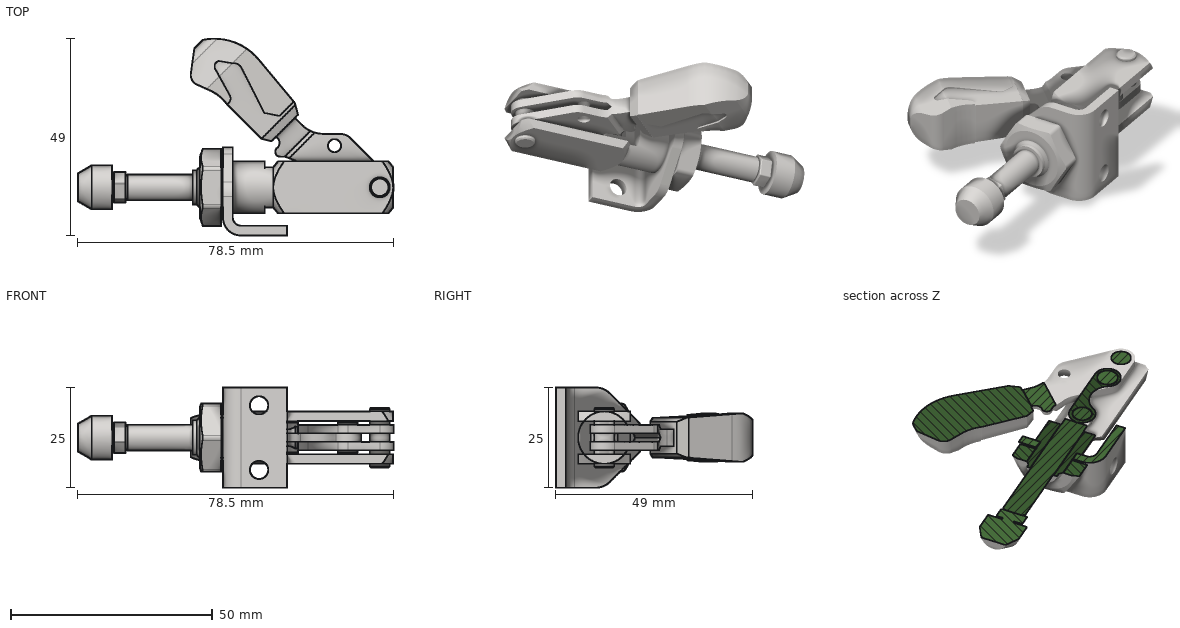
import cadquery as cq
import math


sheet = 2.5
thread_radius = 5.0
rod_radius = 3.25
pin_radius = 2.5
pin_chamfer = 0.35
pin_a_x = 39.0
pin_b_x = 31.0
pin_c_x = 16.2
link_half = 1.05
half_root = math.sqrt(0.5)
lever_sheet = 2.1
inner_half = 4.1
inner_pin_half = 4.0
outer_pin_half = 7.45


def revolve_about_x(points):
    """Solid of revolution about the X axis from (x, radius) points."""
    return cq.Workplane("XY").polyline(points).close().revolve(360, (0, 0), (1, 0))


def cylinder_along_x(start, end, radius):
    return cq.Workplane("YZ", origin=(start, 0, 0)).circle(radius).extrude(end - start)


def pin(x, half_length):
    """Straight pin along Z with chamfered ends, centred on the plunger axis."""
    body = cq.Workplane("XY", origin=(x, 0, -half_length)).circle(pin_radius).extrude(2 * half_length)
    return body.faces("<Z or >Z").chamfer(pin_chamfer)


def hexagon(start, end, across_flats, first_corner_deg, corner_radius):
    """Hexagonal prism along X with rounded corners."""
    bar = cq.Workplane("YZ", origin=(start, 0, 0)).polygon(6, across_flats / math.cos(math.pi / 6))
    bar = bar.extrude(end - start).edges("|X").fillet(corner_radius)
    return bar.rotate((0, 0, 0), (1, 0, 0), first_corner_deg)


bracket_half_width = 12.5
foot_bottom = -12.0
foot_length = 16.0
bend_inner_radius = 2.0
bracket_top = 10.0
bracket_slope_apex = 12.4
bracket_top_radius = (bracket_slope_apex - bracket_top) / (math.sqrt(2) - 1)
bracket_shoulder_radius = 5.0
foot_hole_x = 9.0
foot_hole_z = 8.0
foot_hole_diameter = 4.5


def make_bracket():
    angle = (
        cq.Workplane("XY", origin=(0, 0, -bracket_half_width))
        .moveTo(0, bracket_slope_apex)
        .lineTo(0, foot_bottom)
        .lineTo(foot_length, foot_bottom)
        .lineTo(foot_length, foot_bottom + sheet)
        .lineTo(sheet, foot_bottom + sheet)
        .lineTo(sheet, bracket_slope_apex)
        .close()
        .extrude(2 * bracket_half_width)
    )
    angle = angle.edges(cq.selectors.NearestToPointSelector((sheet, foot_bottom + sheet, 0)))
    angle = angle.fillet(bend_inner_radius)
    angle = angle.edges(cq.selectors.NearestToPointSelector((0, foot_bottom, 0)))
    angle = angle.fillet(bend_inner_radius + sheet)

    shoulder_y = bracket_slope_apex - bracket_half_width
    silhouette = (
        cq.Workplane("YZ")
        .moveTo(foot_bottom, -bracket_half_width)
        .lineTo(shoulder_y, -bracket_half_width)
        .lineTo(bracket_slope_apex, 0)
        .lineTo(shoulder_y, bracket_half_width)
        .lineTo(foot_bottom, bracket_half_width)
        .close()
        .extrude(foot_length)
    )
    silhouette = silhouette.edges("|X and >Y").fillet(bracket_top_radius)
    for side in (-1, 1):
        corner = (foot_length / 2, shoulder_y, side * bracket_half_width)
        silhouette = silhouette.edges(cq.selectors.NearestToPointSelector(corner))
        silhouette = silhouette.fillet(bracket_shoulder_radius)

    foot_holes = (
        cq.Workplane("XZ", origin=(0, foot_bottom + sheet, 0))
        .pushPoints([(foot_hole_x, -foot_hole_z), (foot_hole_x, foot_hole_z)])
        .circle(foot_hole_diameter / 2)
        .extrude(sheet)
    )
    return angle.intersect(silhouette).cut(foot_holes).cut(cylinder_along_x(0, sheet, thread_radius))


nut_front = -5.7
nut_back = -0.4
nut_across_flats = 17.0
nut_corner_radius = 1.2
nut_face_radius = 7.65
nut_chamfer_depth = 0.75
nut_chamfer_radius = 9.7


def make_nut():
    bar = hexagon(nut_front, nut_back, nut_across_flats, 0, nut_corner_radius)
    chamfered_blank = revolve_about_x([
        (nut_front, 0),
        (nut_front, nut_face_radius),
        (nut_front + nut_chamfer_depth, nut_chamfer_radius),
        (nut_back, nut_chamfer_radius),
        (nut_back, 0),
    ])
    return bar.intersect(chamfered_blank).cut(cylinder_along_x(nut_front, nut_back, thread_radius))


housing_radius = 6.5
housing_front = -7.5
neck_end = -6.5
neck_radius = 4.3
slot_start = 10.45
fork_front = 12.55
fork_end = 42.3


def make_housing():
    neck_and_barrel = revolve_about_x([
        (housing_front, 0),
        (housing_front, neck_radius),
        (neck_end, neck_radius),
        (neck_end + thread_radius - neck_radius, thread_radius),
        (sheet, thread_radius),
        (sheet, housing_radius),
        (fork_front, housing_radius),
        (fork_front, 0),
    ])
    fork_length = fork_end - fork_front
    fork = cq.Workplane("YZ", origin=(fork_front, 0, 0)).rect(2 * housing_radius, 2 * housing_radius)
    fork = fork.extrude(fork_length)
    cone_rise = fork_length / 2
    fork = fork.intersect(revolve_about_x([
        (fork_front, 0),
        (fork_front, housing_radius),
        (fork_front + cone_rise, housing_radius + cone_rise),
        (fork_end, housing_radius),
        (fork_end, 0),
    ]))
    slot_length = fork_end - slot_start
    slot = cq.Workplane("YZ", origin=(slot_start, 0, 0)).rect(2 * housing_radius, 2 * inner_half)
    slot = slot.extrude(slot_length)
    bore = cylinder_along_x(housing_front, fork_front, rod_radius)
    pin_hole = cq.Workplane("XY", origin=(pin_a_x, 0, -housing_radius)).circle(pin_radius)
    pin_hole = pin_hole.extrude(2 * housing_radius)
    return neck_and_barrel.union(fork).cut(slot).cut(bore).cut(pin_hole)


tip_front = -36.0
tip_cone_end = -32.55
tip_back = -27.5
tip_face_radius = 3.5
tip_radius = 5.5
tip_neck_radius = 1.9
hex_front = -27.15
hex_back = -24.1
hex_across_flats = 7.0
hex_corner_deg = 15
hex_corner_radius = 0.3
hex_chamfer = 0.2


def make_spindle():
    bumper = revolve_about_x([
        (tip_front, 0),
        (tip_front, tip_face_radius),
        (tip_cone_end, tip_radius),
        (tip_back, tip_radius),
        (tip_back, tip_neck_radius),
        (hex_front, tip_neck_radius),
        (hex_front, 0),
    ])
    head = hexagon(hex_front, hex_back, hex_across_flats, hex_corner_deg, hex_corner_radius)
    head = head.faces("<X or >X").chamfer(hex_chamfer)
    return bumper.union(head)


plunger_end = 18.5
plunger_chamfer = 0.45
link_end_radius = 3.4


def make_plunger():
    rod = cylinder_along_x(hex_back, plunger_end, rod_radius).faces("<X or >X").chamfer(plunger_chamfer)
    slot_front = pin_c_x - link_end_radius
    slot = cq.Workplane("YZ", origin=(slot_front, 0, 0)).rect(2 * rod_radius, 2 * link_half)
    slot = slot.extrude(plunger_end - slot_front)
    return rod.cut(slot).union(pin(pin_c_x, inner_pin_half))


link_notch_radius = 5.0


def make_link():
    middle_x = (pin_b_x + pin_c_x) / 2
    centre_distance = link_notch_radius + link_end_radius
    notch_drop = math.sqrt(centre_distance**2 - (pin_b_x - middle_x) ** 2)
    tangent_x = link_end_radius * (pin_b_x - middle_x) / centre_distance
    tangent_y = link_end_radius * notch_drop / centre_distance
    plate = (
        cq.Workplane("XY", origin=(0, 0, -link_half))
        .moveTo(pin_c_x + tangent_x, -tangent_y)
        .threePointArc((middle_x, link_notch_radius - notch_drop), (pin_b_x - tangent_x, -tangent_y))
        .threePointArc((pin_b_x + link_end_radius * half_root, -link_end_radius * half_root),
                       (pin_b_x, link_end_radius))
        .lineTo(pin_c_x, link_end_radius)
        .threePointArc((pin_c_x - link_end_radius * half_root, -link_end_radius * half_root),
                       (pin_c_x + tangent_x, -tangent_y))
        .close()
        .extrude(2 * link_half)
    )
    holes = cq.Workplane("XY", origin=(0, 0, -link_half)).pushPoints([(pin_b_x, 0), (pin_c_x, 0)])
    return plate.cut(holes.circle(pin_radius).extrude(2 * link_half))


handle_reach = 60.0
grip_start = -0.45


def handle_to_xy(across, along):
    return ((across - along) * half_root, (across + along) * half_root)


def handle_plane():
    """Local X is across the handle, local Y is along it, normal +Z."""
    return cq.Workplane(cq.Plane(origin=(0, 0, 0), xDir=(1, 1, 0), normal=(0, 0, 1)))


def handle_side_plane():
    """Local X is along the handle, local Y is +Z."""
    return cq.Workplane(cq.Plane(origin=(0, 0, 0), xDir=(-1, 1, 0), normal=(1, 1, 0)))


def handle_slab(profile):
    """Extrude an (along, z) profile right across the handle."""
    return handle_side_plane().polyline(profile).close().extrude(handle_reach, both=True)


lever_end_radius = 3.51
lever_back_y = 13.3
lever_back_left = 25.1
lever_throat_radius = 7.8
lever_corner_radius = 3.6
neck_across_low = 18.2
lever_hole_x = 27.75
lever_hole_y = 10.35
lever_hole_diameter = 3.2
toe_root_x = 21.1
toe_underside = (18.3, 6.5)
toe_heel = (15.5, 7.6)
toe_tip_start = (14.2, 7.6)
toe_tip = (13.0, 8.8)
toe_tip_end = (13.6, 9.9)
toe_throat = (14.05, 11.2)
joggle_start = -6.52
joggle_end = -5.48


def make_lever():
    cheek_half = link_half + lever_sheet
    diagonal = lever_end_radius * half_root
    throat_drop = lever_throat_radius * (1 - half_root)
    throat_end = (lever_back_left - lever_throat_radius * half_root, lever_back_y + throat_drop)
    neck_across_high = (throat_end[0] + throat_end[1]) * half_root
    back_corner_x = pin_a_x + 2 * diagonal - lever_back_y
    corner_tangent = lever_corner_radius * math.tan(math.pi / 8)
    outline = (
        cq.Workplane("XY", origin=(0, 0, -cheek_half))
        .moveTo(pin_a_x + diagonal, diagonal)
        .threePointArc((pin_a_x + diagonal, -diagonal), (pin_a_x, -lever_end_radius))
        .lineTo(pin_b_x, -lever_end_radius)
        .tangentArcPoint((pin_b_x - diagonal, -diagonal), relative=False)
        .lineTo(toe_root_x, pin_b_x - 2 * diagonal - toe_root_x)
        .tangentArcPoint(toe_underside, relative=False)
        .lineTo(*toe_heel)
        .lineTo(*toe_tip_start)
        .threePointArc(toe_tip, toe_tip_end)
        .threePointArc(toe_throat, handle_to_xy(neck_across_low, grip_start))
        .lineTo(*handle_to_xy(neck_across_high, grip_start))
        .lineTo(*throat_end)
        .tangentArcPoint((lever_back_left, lever_back_y), relative=False)
        .lineTo(back_corner_x - corner_tangent, lever_back_y)
        .tangentArcPoint(
            (back_corner_x + corner_tangent * half_root, lever_back_y - corner_tangent * half_root),
            relative=False,
        )
        .close()
        .extrude(2 * cheek_half)
    )
    envelope = handle_slab([
        (-handle_reach, -cheek_half),
        (joggle_start, -cheek_half),
        (joggle_end, -lever_sheet),
        (grip_start, -lever_sheet),
        (grip_start, lever_sheet),
        (joggle_end, lever_sheet),
        (joggle_start, cheek_half),
        (-handle_reach, cheek_half),
    ])
    gap = handle_slab([
        (-handle_reach, -link_half),
        (joggle_start, -link_half),
        (joggle_end, 0),
        (joggle_start, link_half),
        (-handle_reach, link_half),
    ])
    hole = cq.Workplane("XY", origin=(lever_hole_x, lever_hole_y, 0)).circle(lever_hole_diameter / 2)
    hole = hole.extrude(cheek_half, both=True)
    lever = outline.intersect(envelope).cut(gap).cut(hole)
    return lever.union(pin(pin_a_x, outer_pin_half)).union(pin(pin_b_x, inner_pin_half))


grip_bevel_end = 1.75
grip_bevel_half = 3.95
grip_root_half = 4.95
grip_ridge = 20.2
grip_ridge_half = 6.05
grip_round_start = 27.2
grip_round_start_half = 4.25
grip_end = 29.45
grip_end_half = 1.3
grip_round_middle = (28.8, 3.0)
grip_low_side = 15.3
grip_neck_low = (16.6, grip_start)
grip_neck_high = (26.0, grip_start)
grip_shoulder = (27.5, 2.2)
grip_back_end = (28.75, 16.0)
grip_crown = (26.68, 25.05)
grip_tip_high = (22.4, grip_end)
grip_tip_low = (19.4, grip_end)
grip_nose_start = (14.3, 25.6)
grip_nose = (13.35, 24.0)
grip_nose_end = (13.6, 22.3)
finger_hollow_start = (14.95, 18.7)
finger_hollow_middle = (15.4, 16.5)
finger_hollow_end = (grip_low_side, 13.7)
recess_mouth = (grip_low_side, 13.9)
recess_mouth_bend = (16.4, 13.9)
recess_mouth_end = (17.4, 15.0)
tongue_tip_low = (19.4, 21.9)
tongue_tip = (20.2, 23.0)
tongue_tip_high = (21.5, 22.9)
tongue_back_start = (23.5, 20.1)
tongue_back_bend = (24.3, 18.9)
tongue_back_end = (24.2, 17.5)
recess_elbow = (20.35, 5.8)
recess_corner_across = 22.5
recess_band_end = 2.6
recess_root_depth = 0.05
recess_ridge_depth = 0.45


def make_grip():
    outline = (
        handle_plane().workplane(offset=-grip_ridge_half)
        .moveTo(*grip_neck_low)
        .lineTo(*grip_neck_high)
        .lineTo(*grip_shoulder)
        .lineTo(*grip_back_end)
        .threePointArc(grip_crown, grip_tip_high)
        .lineTo(*grip_tip_low)
        .lineTo(*grip_nose_start)
        .threePointArc(grip_nose, grip_nose_end)
        .lineTo(*finger_hollow_start)
        .threePointArc(finger_hollow_middle, finger_hollow_end)
        .lineTo(grip_low_side, grip_bevel_end)
        .close()
        .extrude(2 * grip_ridge_half)
    )
    thickness = (
        handle_side_plane()
        .moveTo(grip_start, 0)
        .lineTo(grip_start, grip_bevel_half)
        .lineTo(grip_bevel_end, grip_root_half)
        .lineTo(grip_ridge, grip_ridge_half)
        .lineTo(grip_round_start, grip_round_start_half)
        .threePointArc(grip_round_middle, (grip_end, grip_end_half))
        .lineTo(grip_end, 0)
        .close()
        .extrude(handle_reach, both=True)
    )
    thickness = thickness.union(thickness.mirror("XY"))
    recess = make_grip_recess()
    return outline.intersect(thickness).cut(recess).cut(recess.mirror("XY"))


def make_grip_recess():
    """Tongue-shaped thumb recess that deepens towards the ridge of the grip."""
    region = (
        handle_plane()
        .moveTo(*recess_mouth)
        .threePointArc(recess_mouth_bend, recess_mouth_end)
        .lineTo(*tongue_tip_low)
        .threePointArc(tongue_tip, tongue_tip_high)
        .lineTo(*tongue_back_start)
        .threePointArc(tongue_back_bend, tongue_back_end)
        .lineTo(*recess_elbow)
        .lineTo(recess_corner_across, recess_band_end)
        .lineTo(handle_reach, recess_band_end)
        .lineTo(handle_reach, grip_bevel_end)
        .lineTo(grip_low_side, grip_bevel_end)
        .close()
        .extrude(2 * grip_ridge_half)
    )
    above_floor = handle_slab([
        (grip_bevel_end, grip_root_half - recess_root_depth),
        (grip_ridge, grip_ridge_half - recess_ridge_depth),
        (grip_round_start, grip_round_start_half - recess_ridge_depth),
        (grip_round_start, 2 * grip_ridge_half),
        (grip_bevel_end, 2 * grip_ridge_half),
    ])
    return region.intersect(above_floor)


bracket = make_bracket()
nut = make_nut()
housing = make_housing()
spindle = make_spindle()
plunger = make_plunger()
link = make_link()
lever = make_lever()
grip = make_grip()

result = cq.Compound.makeCompound([
    bracket.val(),
    nut.val(),
    housing.val(),
    spindle.val(),
    plunger.val(),
    link.val(),
    lever.val(),
    grip.val(),
])